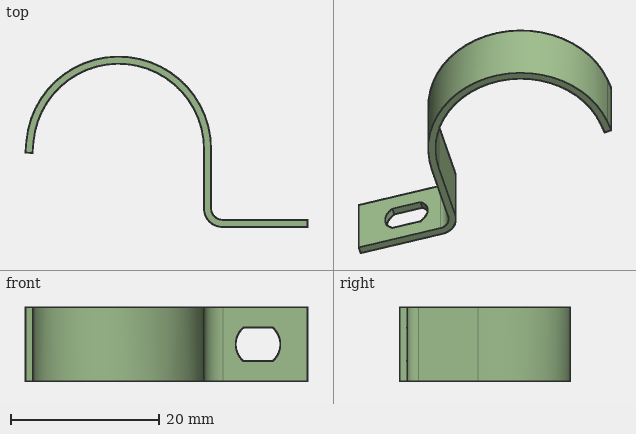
import cadquery as cq
import math

length = 38.08
depth = 23.0
width = 10.0
thickness = 1.0
loop_radius = 12.5
bend_radius = 2.5
lip_angle = 5.0
lip_length = 1.55
hole_diameter = 5.98
hole_height = 4.5
hole_from_end = 6.7

loop_inner = loop_radius - thickness
bend_inner = bend_radius - thickness
loop_end_angle = 180 - lip_angle
lip_shift_x = -lip_length * math.sin(math.radians(lip_angle))
lip_shift_y = -lip_length * math.cos(math.radians(lip_angle))
lip_tip_x = loop_radius * math.cos(math.radians(loop_end_angle)) + lip_shift_x
foot_end = length + lip_tip_x
foot_bottom = loop_radius - depth
foot_top = foot_bottom + thickness
bend_x = loop_inner + bend_radius
bend_y = foot_bottom + bend_radius


def polar(radius, degrees, center=(0, 0)):
    """Point at an angle on a circle."""
    angle = math.radians(degrees)
    return (center[0] + radius * math.cos(angle), center[1] + radius * math.sin(angle))


def lip_tip(loop_end):
    """Tip of the lip edge that starts at an end point of the loop."""
    return (loop_end[0] + lip_shift_x, loop_end[1] + lip_shift_y)


def strip():
    """Bent strip: straight lip, loop, straight leg, rounded bend and flat foot."""
    bend_center = (bend_x, bend_y)
    outer_end = polar(loop_radius, loop_end_angle)
    inner_end = polar(loop_inner, loop_end_angle)
    return (
        cq.Workplane("XY", origin=(0, 0, -width / 2))
        .moveTo(*lip_tip(outer_end))
        .lineTo(*outer_end)
        .threePointArc((0, loop_radius), (loop_radius, 0))
        .lineTo(loop_radius, bend_y)
        .threePointArc(polar(bend_inner, 225, bend_center), (bend_x, foot_top))
        .lineTo(foot_end, foot_top)
        .lineTo(foot_end, foot_bottom)
        .lineTo(bend_x, foot_bottom)
        .threePointArc(polar(bend_radius, 225, bend_center), (loop_inner, bend_y))
        .lineTo(loop_inner, 0)
        .threePointArc((0, loop_inner), inner_end)
        .lineTo(*lip_tip(inner_end))
        .close()
        .extrude(width)
    )


def foot_hole():
    """Round hole cutter with flats above and below."""
    hole_center = (foot_end - hole_from_end, foot_bottom + thickness / 2, 0)
    cut_depth = 2 * thickness
    flats = cq.Workplane("XY").box(hole_diameter, cut_depth, hole_height)
    round_hole = cq.Workplane("XZ").circle(hole_diameter / 2).extrude(cut_depth / 2, both=True)
    return round_hole.intersect(flats).translate(hole_center)


result = strip().cut(foot_hole())